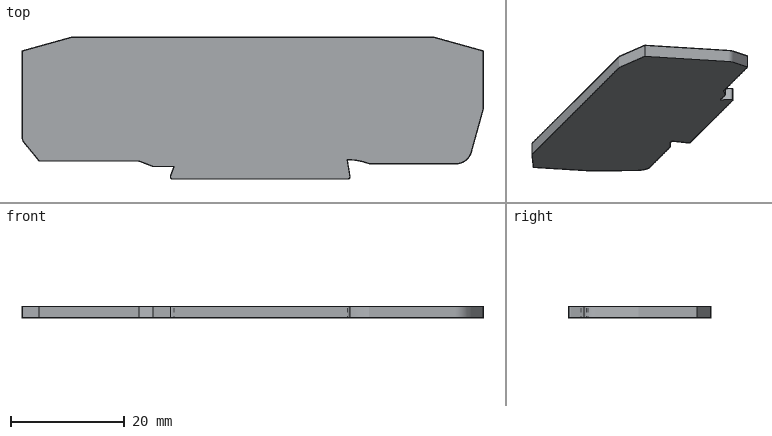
import cadquery as cq

length = 81.2
width = 25.0
thickness = 2.0

shoulder_run = 8.8
shoulder_drop = 2.4

left_edge_y = 3.2
left_chamfer_run = 3.0
left_chamfer_rise = 3.65
left_chamfer_blend = 1.5
step_start_x = 20.55
step_end_x = 23.1
step_y = 2.2

foot_left_x = 25.9
foot_right_x = 57.8
foot_left_neck_x = 26.7
foot_right_neck_x = 57.25
toe_radius = 0.4

arch_top_y = 3.4
arch_end_x = 61.15

right_edge_y = 2.7
slant_top_y = 12.35
slant_bottom_x = 78.5
corner_radius = 2.85

arch_run = arch_end_x - foot_right_neck_x
arch_drop = arch_top_y - right_edge_y
arch_radius = (arch_run**2 + arch_drop**2) / (2 * arch_drop)

outline = (
    cq.Workplane("XY")
    .moveTo(foot_right_neck_x, arch_top_y)
    .radiusArc((arch_end_x, right_edge_y), arch_radius)
    .lineTo(slant_bottom_x, right_edge_y)
    .lineTo(length, slant_top_y)
    .lineTo(length, width - shoulder_drop)
    .lineTo(length - shoulder_run, width)
    .lineTo(shoulder_run, width)
    .lineTo(0, width - shoulder_drop)
    .lineTo(0, left_edge_y + left_chamfer_rise)
    .lineTo(left_chamfer_run, left_edge_y)
    .lineTo(step_start_x, left_edge_y)
    .lineTo(step_end_x, step_y)
    .lineTo(foot_left_neck_x, step_y)
    .lineTo(foot_left_x, 0)
    .lineTo(foot_right_x, 0)
    .close()
)
plate = outline.extrude(thickness)


def round_corner(body, x, y, radius):
    """Round the upright edge standing at (x, y)."""
    corner = cq.selectors.NearestToPointSelector((x, y, thickness / 2))
    return body.edges("|Z").edges(corner).fillet(radius)


plate = round_corner(plate, slant_bottom_x, right_edge_y, corner_radius)
plate = round_corner(plate, 0, left_edge_y + left_chamfer_rise, left_chamfer_blend)
for toe_x in (foot_left_x, foot_right_x):
    plate = round_corner(plate, toe_x, 0, toe_radius)

result = plate